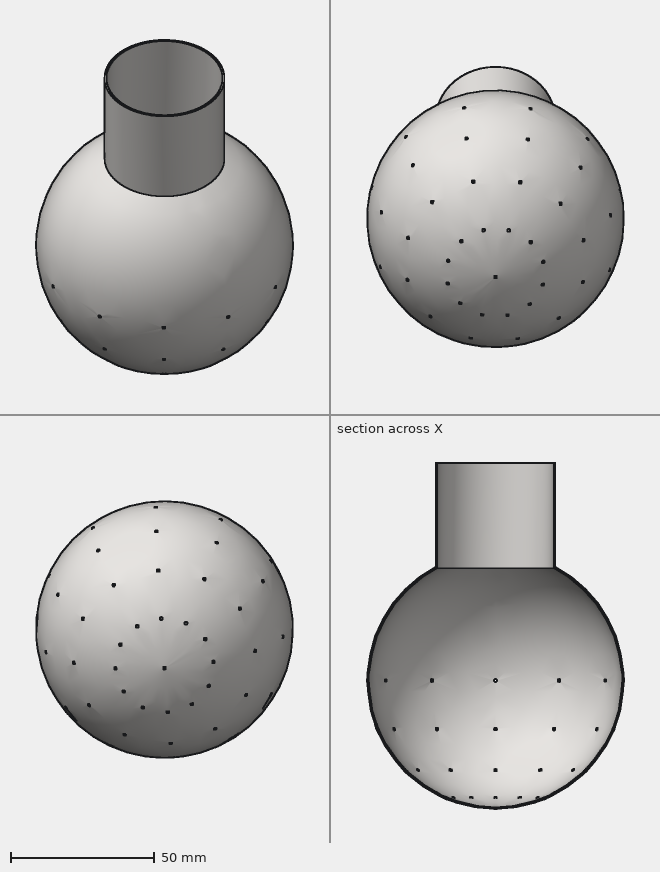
import cadquery as cq

total_height = 121.0
ball_diameter = 90.0
neck_diameter = 42.0
neck_bore = 40.5
wall = (neck_diameter - neck_bore) / 2

hole_diameter = 1.0
holes_per_ring = 12
ring_count = 4
ring_step = 90 / ring_count
ring_angle_step = 360 / holes_per_ring

ball_radius = ball_diameter / 2
inner_radius = ball_radius - wall
neck_top = total_height - ball_radius


def upright_cylinder(diameter, height):
    """Cylinder rising from the ball centre."""
    return cq.Workplane("XY").circle(diameter / 2).extrude(height)


def spray_hole(depression, azimuth):
    """Radial cutter crossing the ball wall, pointing below the equator."""
    cutter_start = inner_radius - wall
    cutter_length = 3 * wall
    return (
        cq.Workplane("YZ", origin=(cutter_start, 0, 0))
        .circle(hole_diameter / 2)
        .extrude(cutter_length)
        .rotate((0, 0, 0), (0, 1, 0), depression)
        .rotate((0, 0, 0), (0, 0, 1), azimuth)
    )


outside = cq.Workplane("XY").sphere(ball_radius).union(upright_cylinder(neck_diameter, neck_top))
cavity = cq.Workplane("XY").sphere(inner_radius).union(upright_cylinder(neck_bore, neck_top))
result = outside.cut(cavity)

for ring in range(ring_count):
    for index in range(holes_per_ring):
        result = result.cut(spray_hole(ring * ring_step, index * ring_angle_step))
result = result.cut(spray_hole(90, 0))